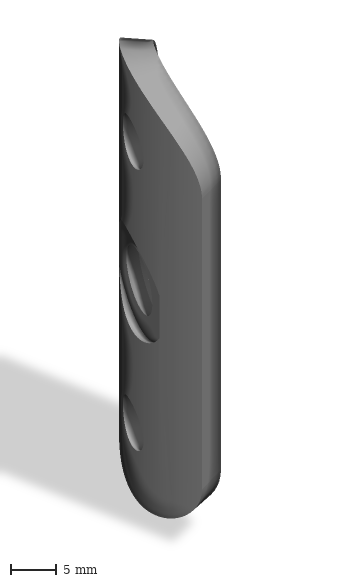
import cadquery as cq
import math

length = 64.0
width = 24.0
outer_radius = 20.6
thickness = 3.8
inner_radius = outer_radius - thickness

edge_sine = width / 2 / outer_radius
end_height = inner_radius * edge_sine
straight_half = length / 2 - end_height

screw_hole_diameter = 6.45
screw_hole_spacing = 43.0
center_hole_diameter = 8.1
back_bore_diameter = 12.5
seat_diameter = 14.15
seat_flat_width = 12.55
seat_distance = math.sqrt(outer_radius**2 - (seat_flat_width / 2) ** 2)

wedge_near = inner_radius / 2
wedge_far = outer_radius * 1.2
end_curve_steps = 24
end_turns = [math.pi * step / end_curve_steps for step in range(end_curve_steps + 1)]


def end_curve(distance, side):
    """Points of one rounded end, projected from the axis onto a plane at this distance."""
    points = []
    for turn in end_turns:
        angle = math.asin(edge_sine * math.cos(turn))
        x = side * distance * math.tan(angle)
        z = side * (straight_half + end_height * math.sin(turn))
        points.append((x, z))
    return points


def add_end(outline, points, side):
    """Draw one rounded end, leaving and meeting the straight sides tangentially."""
    return outline.lineTo(*points[0]).spline(
        points[1:],
        tangents=[(0, side * end_height), (0, -side * end_height)],
        parameters=end_turns,
        scale=False,
        includeCurrent=True,
    )


def wedge_outline(distance):
    """Plate outline in the plane at this distance on the -Y side of the axis."""
    top = end_curve(distance, 1)
    bottom = end_curve(distance, -1)
    outline = cq.Workplane("XZ", origin=(0, -distance, 0)).moveTo(*bottom[-1])
    outline = add_end(outline, top, 1)
    outline = add_end(outline, bottom, -1)
    return outline.close().val()


def round_cutter(diameter, z, start):
    """Cylinder along -Y from the given distance to beyond the outer face."""
    return (
        cq.Workplane("XZ", origin=(0, -start, z))
        .circle(diameter / 2)
        .extrude(wedge_far - start)
    )


def back_bore():
    """Middle opening: a 45 degree cone from the seat rim, then a straight bore to the back."""
    rim_radius = center_hole_diameter / 2
    bore_radius = back_bore_diameter / 2
    cone_depth = bore_radius - rim_radius
    return (
        cq.Workplane("XY")
        .polyline(
            [
                (0, 0),
                (bore_radius, 0),
                (bore_radius, cone_depth - seat_distance),
                (rim_radius, -seat_distance),
                (0, -seat_distance),
            ]
        )
        .close()
        .revolve(360, (0, 0), (0, 1))
    )


tube = (
    cq.Workplane("XY")
    .circle(outer_radius)
    .circle(inner_radius)
    .extrude(length / 2 + 0.65, both=True)
)
wedge = cq.Solid.makeLoft([wedge_outline(wedge_near), wedge_outline(wedge_far)], True)
plate = tube.intersect(cq.Workplane(wedge))

plate = plate.cut(round_cutter(seat_diameter, 0, seat_distance))
plate = plate.cut(back_bore())

for z in (-screw_hole_spacing / 2, screw_hole_spacing / 2):
    plate = plate.cut(round_cutter(screw_hole_diameter, z, 0))

result = plate